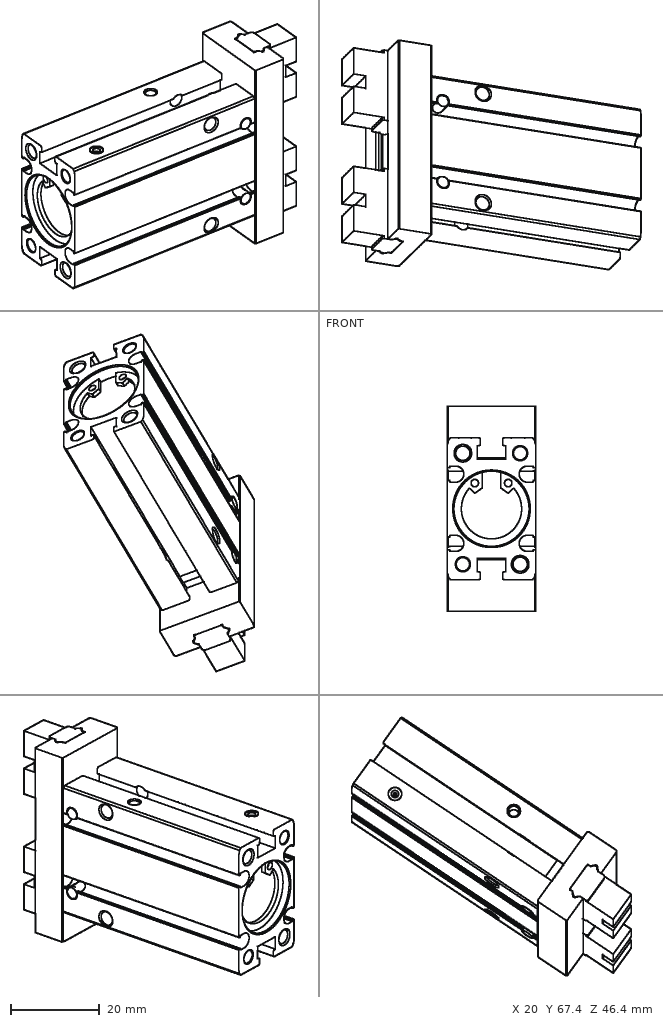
import cadquery as cq
import math

WIDTH = 20.0
BODY_LENGTH = 50.95
BODY_HEIGHT = 32.0
SHOULDER_WIDTH = 18.6
SHOULDER_EDGE_X = 9.7
SHOULDER_EDGE_Z = 15.5
SIDE_FLAT_Z = 13.9

T_SLOT_NECK = 5.0
T_SLOT_WIDTH = 6.35
T_SLOT_DEPTH = 4.85
T_SLOT_LIP = 1.75
LIP_FILLET = 0.4

SENSOR_SLOT_RADIUS = 1.8
SENSOR_SLOT_MOUTH = 2.8
SENSOR_LIP_THICKNESS = 0.55
SENSOR_SLOT_BEVEL = 0.2
SENSOR_SLOT_X = 8.1
SENSOR_SLOT_Z = 7.8

BORE_DIAMETER = 17.0
BORE_CHAMFER = 0.3
RING_INNER_DIAMETER = 13.6
RING_RECESS = 2.0
RING_THICKNESS = 1.0
RING_GAP = 4.25
LUG_X = 3.8
EYELET_Z = 5.8
EYELET_DIAMETER = 1.7
LUG_CORNER_Z = 4.65
LUG_TIP_Z = 3.5

MOUNT_HOLE_X = 6.5
MOUNT_HOLE_Z = 12.55
MOUNT_HOLE_DEPTH = 12.1
THREAD_DIAMETER = 3.25
THREAD_MOUTH = 4.0
SMALL_DIAMETER = 3.0
SMALL_MOUTH = 3.4

CROSS_HOLE_Y = 38.5
CROSS_HOLE_Z = 13.5

PIN_DIAMETER = 3.0
PIN_Y = 48.25
PIN_Z = 10.0
PIN_TIP_DIAMETER = 2.7
PIN_TIP_LENGTH = 0.55

PORT_X = 6.0
PORT_DIAMETER = 2.4
PORT_MOUTH = 3.0
PORT_DEPTH = 3.4
AIR_PORT_Y = 33.4
NEEDLE_PORT_Y = 9.1
NEEDLE_SEAT_DEPTH = 0.2
NEEDLE_SOCKET_DIAMETER = 1.7
NEEDLE_BORE_DIAMETER = 0.8

GUIDE_LENGTH = 8.15
GUIDE_HEIGHT = 46.4
GUIDE_CHAMFER = 0.3

TOTAL_LENGTH = 67.4
JAW_WIDTH = 7.15
RAIL_HEIGHT = 17.25
RAIL_LENGTH = 4.9
RAIL_CHAMFER = 0.4
RAIL_FRONT_Y = 60.3
FINGER_HEIGHT = 15.9
NOTCH_HEIGHT = 3.0
NOTCH_DEPTH = 2.95
RIDGE_Y = 57.2
RIDGE_HALF_BASE = 1.15
RIDGE_DEPTH = 0.95
RIDGE_CLEARANCE = 0.2

HALF_WIDTH = WIDTH / 2
HALF_BODY_HEIGHT = BODY_HEIGHT / 2
GUIDE_FRONT_Y = BODY_LENGTH + GUIDE_LENGTH
RAIL_BACK_Y = RAIL_FRONT_Y - RAIL_LENGTH
JAW_Z = (GUIDE_HEIGHT - RAIL_HEIGHT) / 2
SIGNS = (-1, 1)


def block(x_size, y_start, y_end, z_size, x=0, z=0):
    """Box spanning y_start to y_end, centred at x and z."""
    box = cq.Workplane("XY").box(x_size, y_end - y_start, z_size)
    return box.translate((x, (y_start + y_end) / 2, z))


def cylinder(diameter, length, start, direction):
    """Cylinder running from a start point along a direction."""
    return cq.Workplane(cq.Solid.makeCylinder(
        diameter / 2, length, cq.Vector(*start), cq.Vector(*direction)))


def chamfered_hole(diameter, mouth, depth, start, direction):
    """Cutter for a blind hole whose mouth opens out at 45 degrees."""
    cone = cq.Workplane(cq.Solid.makeCone(
        mouth / 2, diameter / 2, (mouth - diameter) / 2, cq.Vector(*start), cq.Vector(*direction)))
    return cylinder(diameter, depth, start, direction).union(cone)


def body_extrusion():
    """Plain bar whose long corners are bevelled and then rounded into the sides."""
    shoulder_x = SHOULDER_WIDTH / 2
    run_x = HALF_WIDTH - SHOULDER_EDGE_X
    run_z = SHOULDER_EDGE_Z - SIDE_FLAT_Z
    radius = (run_x ** 2 + run_z ** 2) / (2 * run_x)
    half_angle = math.asin(run_z / radius) / 2
    mid_x = HALF_WIDTH - radius * (1 - math.cos(half_angle))
    mid_z = SIDE_FLAT_Z + radius * math.sin(half_angle)
    profile = (
        cq.Workplane("XZ")
        .moveTo(-shoulder_x, HALF_BODY_HEIGHT)
        .lineTo(shoulder_x, HALF_BODY_HEIGHT)
        .lineTo(SHOULDER_EDGE_X, SHOULDER_EDGE_Z)
        .threePointArc((mid_x, mid_z), (HALF_WIDTH, SIDE_FLAT_Z))
        .lineTo(HALF_WIDTH, -SIDE_FLAT_Z)
        .threePointArc((mid_x, -mid_z), (SHOULDER_EDGE_X, -SHOULDER_EDGE_Z))
        .lineTo(shoulder_x, -HALF_BODY_HEIGHT)
        .lineTo(-shoulder_x, -HALF_BODY_HEIGHT)
        .lineTo(-SHOULDER_EDGE_X, -SHOULDER_EDGE_Z)
        .threePointArc((-mid_x, -mid_z), (-HALF_WIDTH, -SIDE_FLAT_Z))
        .lineTo(-HALF_WIDTH, SIDE_FLAT_Z)
        .threePointArc((-mid_x, mid_z), (-SHOULDER_EDGE_X, SHOULDER_EDGE_Z))
        .close()
    )
    return profile.extrude(-BODY_LENGTH)


def cut_t_slots(body):
    """T-slots along the top and bottom faces, with rounded lips."""
    for side in SIGNS:
        neck_z = side * (HALF_BODY_HEIGHT - T_SLOT_DEPTH / 2)
        body = body.cut(block(T_SLOT_NECK, 0, BODY_LENGTH, T_SLOT_DEPTH, z=neck_z))
        wide_height = T_SLOT_DEPTH - T_SLOT_LIP
        wide_z = side * (HALF_BODY_HEIGHT - T_SLOT_LIP - wide_height / 2)
        body = body.cut(block(T_SLOT_WIDTH, 0, BODY_LENGTH, wide_height, z=wide_z))
    margin = LIP_FILLET / 2
    lip_edges = cq.selectors.BoxSelector(
        (-T_SLOT_NECK / 2 - margin, 0, -BODY_HEIGHT),
        (T_SLOT_NECK / 2 + margin, BODY_LENGTH, BODY_HEIGHT))
    return body.edges("|Y").edges(lip_edges).fillet(LIP_FILLET)


def sensor_slot():
    """Cutter for the round-bottomed slot on the +X, +Z side, with a lipped and bevelled mouth."""
    half_mouth = SENSOR_SLOT_MOUTH / 2
    lip_x = HALF_WIDTH - SENSOR_LIP_THICKNESS
    upper_wall = [
        (SENSOR_SLOT_X, SENSOR_SLOT_RADIUS),
        (lip_x - SENSOR_SLOT_BEVEL, SENSOR_SLOT_RADIUS),
        (lip_x, SENSOR_SLOT_RADIUS - SENSOR_SLOT_BEVEL),
        (lip_x, half_mouth),
        (HALF_WIDTH - SENSOR_SLOT_BEVEL, half_mouth),
        (HALF_WIDTH, half_mouth + SENSOR_SLOT_BEVEL),
    ]
    lower_wall = [(x, -z) for x, z in reversed(upper_wall)]
    profile = (
        cq.Workplane("XZ", origin=(0, 0, SENSOR_SLOT_Z))
        .polyline(upper_wall + lower_wall)
        .threePointArc((SENSOR_SLOT_X - SENSOR_SLOT_RADIUS, 0), upper_wall[0])
        .close()
    )
    return profile.extrude(-BODY_LENGTH)


def cut_sensor_slots(body):
    """Four sensor slots along the sides, mirrored about both centre planes."""
    slot = sensor_slot()
    for quadrant in (slot, slot.mirror("YZ")):
        body = body.cut(quadrant).cut(quadrant.mirror("XY"))
    return body


def cross_pin(z):
    """Pin along X with tapered tips that end flush with the sides."""
    half_straight = HALF_WIDTH - PIN_TIP_LENGTH
    pin = cylinder(PIN_DIAMETER, 2 * half_straight, (-half_straight, PIN_Y, z), (1, 0, 0))
    for side in SIGNS:
        tip = cq.Solid.makeCone(
            PIN_DIAMETER / 2, PIN_TIP_DIAMETER / 2, PIN_TIP_LENGTH,
            cq.Vector(side * half_straight, PIN_Y, z), cq.Vector(side, 0, 0))
        pin = pin.union(cq.Workplane(tip))
    return pin


def add_cross_pins(body):
    """Pins that cross the slots, each fixed in a hole of its own diameter."""
    for side in SIGNS:
        z = side * PIN_Z
        body = body.cut(cylinder(PIN_DIAMETER, WIDTH, (-HALF_WIDTH, PIN_Y, z), (1, 0, 0)))
        body = body.union(cross_pin(z))
    return body


def cut_cross_holes(body):
    """Threaded holes through the body along X, chamfered at both ends."""
    for side_z in SIGNS:
        for side_x in SIGNS:
            start = (side_x * HALF_WIDTH, CROSS_HOLE_Y, side_z * CROSS_HOLE_Z)
            body = body.cut(chamfered_hole(
                THREAD_DIAMETER, THREAD_MOUTH, HALF_WIDTH, start, (-side_x, 0, 0)))
    return body


def cut_mounting_holes(body):
    """Rear holes: threaded on one diagonal, plain on the other."""
    for side in SIGNS:
        threaded = (side * MOUNT_HOLE_X, 0, -side * MOUNT_HOLE_Z)
        plain = (side * MOUNT_HOLE_X, 0, side * MOUNT_HOLE_Z)
        body = body.cut(chamfered_hole(
            THREAD_DIAMETER, THREAD_MOUTH, MOUNT_HOLE_DEPTH, threaded, (0, 1, 0)))
        body = body.cut(chamfered_hole(
            SMALL_DIAMETER, SMALL_MOUTH, MOUNT_HOLE_DEPTH, plain, (0, 1, 0)))
    return body


def retaining_ring():
    """Internal ring, open at the top, with two pointed lugs that carry eyelets."""
    y_start = RING_RECESS
    ring = cylinder(BORE_DIAMETER, RING_THICKNESS, (0, y_start, 0), (0, 1, 0))
    opening = cylinder(RING_INNER_DIAMETER, RING_THICKNESS, (0, y_start, 0), (0, 1, 0))
    inner_radius = RING_INNER_DIAMETER / 2
    lug_outer_x = math.sqrt(inner_radius ** 2 - LUG_CORNER_Z ** 2)
    for side in SIGNS:
        lug = (
            cq.Workplane("XZ", origin=(0, y_start, 0))
            .polyline([
                (side * RING_GAP / 2, inner_radius),
                (side * RING_GAP / 2, LUG_CORNER_Z),
                (side * LUG_X, LUG_TIP_Z),
                (side * lug_outer_x, LUG_CORNER_Z),
                (side * lug_outer_x, inner_radius),
            ])
            .close()
            .extrude(-RING_THICKNESS)
        )
        opening = opening.cut(lug)
    gap = block(RING_GAP, y_start, y_start + RING_THICKNESS, inner_radius, z=inner_radius)
    ring = ring.cut(opening.union(gap))
    for side in SIGNS:
        eyelet = (side * LUG_X, y_start, EYELET_Z)
        ring = ring.cut(cylinder(EYELET_DIAMETER, RING_THICKNESS, eyelet, (0, 1, 0)))
    return ring


def cut_bore(body):
    """Rear bore with a chamfered mouth and the retaining ring on its floor."""
    bore = chamfered_hole(
        BORE_DIAMETER, BORE_DIAMETER + 2 * BORE_CHAMFER,
        RING_RECESS + RING_THICKNESS, (0, 0, 0), (0, 1, 0))
    return body.cut(bore.cut(retaining_ring()))


def cut_ports(body):
    """Air port, and a needle port with a conical socket in a shallow seat, in the top face."""
    down = (0, 0, -1)
    air = (-PORT_X, AIR_PORT_Y, HALF_BODY_HEIGHT)
    needle = (PORT_X, NEEDLE_PORT_Y, HALF_BODY_HEIGHT)
    body = body.cut(chamfered_hole(PORT_DIAMETER, PORT_MOUTH, PORT_DEPTH, air, down))
    body = body.cut(cylinder(PORT_MOUTH, NEEDLE_SEAT_DEPTH, needle, down))
    seat = (PORT_X, NEEDLE_PORT_Y, HALF_BODY_HEIGHT - NEEDLE_SEAT_DEPTH)
    return body.cut(chamfered_hole(
        NEEDLE_BORE_DIAMETER, NEEDLE_SOCKET_DIAMETER, PORT_DEPTH, seat, down))


def make_body():
    body = cut_t_slots(body_extrusion())
    body = cut_sensor_slots(body)
    body = add_cross_pins(body)
    body = cut_cross_holes(body)
    body = cut_mounting_holes(body)
    body = cut_bore(body)
    return cut_ports(body)


def ridge(clearance, height):
    """Pair of trapezoid ridges along the rail sides, set in by a clearance."""
    half_base = RIDGE_HALF_BASE - clearance
    depth = RIDGE_DEPTH - clearance
    tip_x = JAW_WIDTH / 2 + depth
    half_tip = half_base - depth
    return (
        cq.Workplane("XY", origin=(0, 0, -height / 2))
        .polyline([
            (-JAW_WIDTH / 2, RIDGE_Y - half_base),
            (JAW_WIDTH / 2, RIDGE_Y - half_base),
            (tip_x, RIDGE_Y - half_tip),
            (tip_x, RIDGE_Y + half_tip),
            (JAW_WIDTH / 2, RIDGE_Y + half_base),
            (-JAW_WIDTH / 2, RIDGE_Y + half_base),
            (-tip_x, RIDGE_Y + half_tip),
            (-tip_x, RIDGE_Y - half_tip),
        ])
        .close()
        .extrude(height)
    )


def make_guide():
    """Block with a ridged groove along Z for the jaws."""
    guide = block(WIDTH, BODY_LENGTH, GUIDE_FRONT_Y, GUIDE_HEIGHT)
    guide = guide.edges("|Z").chamfer(GUIDE_CHAMFER)
    guide = guide.cut(block(JAW_WIDTH, RAIL_BACK_Y, GUIDE_FRONT_Y, GUIDE_HEIGHT))
    return guide.cut(ridge(0, GUIDE_HEIGHT))


def make_jaw(z):
    """Ridged rail carrying a finger with a notch across its tip."""
    rail = block(JAW_WIDTH, RAIL_BACK_Y, RAIL_FRONT_Y, RAIL_HEIGHT)
    rail = rail.edges("|Z").chamfer(RAIL_CHAMFER)
    rail = rail.union(ridge(RIDGE_CLEARANCE, RAIL_HEIGHT))
    finger = block(JAW_WIDTH, RIDGE_Y, TOTAL_LENGTH, FINGER_HEIGHT)
    notch = block(JAW_WIDTH, TOTAL_LENGTH - NOTCH_DEPTH, TOTAL_LENGTH, NOTCH_HEIGHT)
    return rail.union(finger).cut(notch).translate((0, 0, z))


body = make_body()
guide = make_guide()
jaws = [make_jaw(side * JAW_Z) for side in SIGNS]

result = cq.Compound.makeCompound([body.val(), guide.val(), *[jaw.val() for jaw in jaws]])